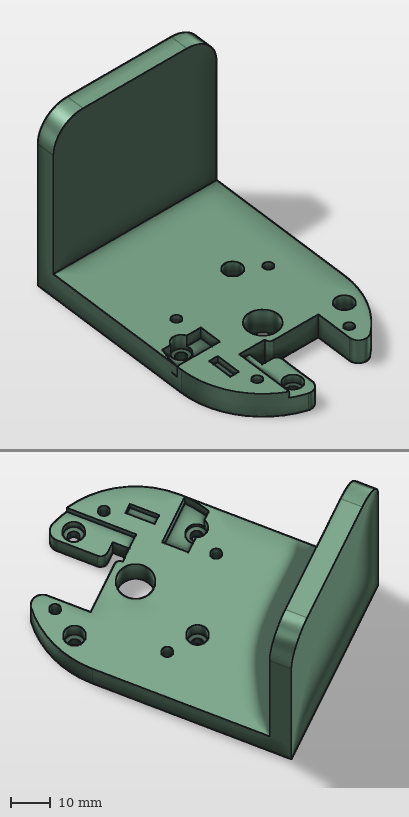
import cadquery as cq
import math

WIDTH = 55.0
HEIGHT = 57.6
BASE_THICKNESS = 7.7
WALL_THICKNESS = 6.0
WALL_CORNER_RADIUS = 10.0

END_RADIUS = WIDTH / 2
CENTRE_X = 55.0
BORE_DIAMETER = 10.0

BEYOND_END_X = CENTRE_X + WIDTH

OPENING_X = 61.9
OPENING_TOP_Y = 12.6
OPENING_BOTTOM_Y = -4.0
ARM_TIP_RADIUS = 3.0

NOTCH_X = 60.3
NOTCH_END_X = 65.25
NOTCH_BOTTOM_Y = -9.1
NOTCH_CORNER_RADIUS = 1.55
ARM_CORNER_RADIUS = 2.0

STEP_Y = -12.55
STEP_DEPTH = 2.0

POCKET_START_X = 46.1
POCKET_END_X = 53.35
POCKET_TOP_Y = -13.0
POCKET_RADIUS = END_RADIUS
POCKET_DEPTH = 3.6

SLOT_START_X = 57.2
SLOT_END_X = NOTCH_END_X
SLOT_TOP_Y = -17.1
SLOT_BOTTOM_Y = -19.95
SLOT_DEPTH = 2.0

PLAIN_HOLE_OFFSET = 15.5
PLAIN_HOLE_DIAMETER = 3.0
SCREW_OFFSET_LONG = 20.5
SCREW_OFFSET_SHORT = 7.9
SCREW_HOLE_DIAMETER = 3.2
COUNTERBORE_DIAMETER = 5.8
COUNTERBORE_FLOOR_Z = 3.0


def block(x_start, x_end, y_start, y_end, z_start, z_end):
    """Box given by its limits along each axis."""
    size = (x_end - x_start, y_end - y_start, z_end - z_start)
    return cq.Workplane("XY").box(*size, centered=False).translate((x_start, y_start, z_start))


def cylinders(centres, diameter, z_start=0.0):
    """Upright cylinders from z_start to the top of the base."""
    return (
        cq.Workplane("XY", origin=(0, 0, z_start))
        .pushPoints(centres)
        .circle(diameter / 2)
        .extrude(BASE_THICKNESS - z_start)
    )


def make_base():
    """Plate with a half-round end and the stepped opening between two arms."""
    half_width = WIDTH / 2
    plate = (
        cq.Workplane("XY")
        .moveTo(0, -half_width)
        .lineTo(CENTRE_X, -half_width)
        .threePointArc((CENTRE_X + END_RADIUS, 0), (CENTRE_X, half_width))
        .lineTo(0, half_width)
        .close()
        .extrude(BASE_THICKNESS)
    )
    opening = block(OPENING_X, BEYOND_END_X, OPENING_BOTTOM_Y, OPENING_TOP_Y, 0, BASE_THICKNESS)
    notch = block(NOTCH_X, NOTCH_END_X, NOTCH_BOTTOM_Y, OPENING_BOTTOM_Y, 0, BASE_THICKNESS)
    plate = plate.cut(opening).cut(notch)

    upper_tip = (CENTRE_X + math.sqrt(END_RADIUS**2 - OPENING_TOP_Y**2), OPENING_TOP_Y)
    lower_tip = (CENTRE_X + math.sqrt(END_RADIUS**2 - OPENING_BOTTOM_Y**2), OPENING_BOTTOM_Y)
    rounded_corners = [
        (upper_tip, ARM_TIP_RADIUS),
        (lower_tip, ARM_TIP_RADIUS),
        ((OPENING_X, OPENING_BOTTOM_Y), NOTCH_CORNER_RADIUS),
        ((NOTCH_END_X, OPENING_BOTTOM_Y), ARM_CORNER_RADIUS),
    ]
    for (x, y), radius in rounded_corners:
        corner = cq.selectors.NearestToPointSelector((x, y, BASE_THICKNESS / 2))
        plate = plate.edges("|Z").edges(corner).fillet(radius)
    return plate


def make_wall():
    """Upright wall with two rounded upper corners."""
    wall = block(0, WALL_THICKNESS, -WIDTH / 2, WIDTH / 2, 0, HEIGHT)
    return wall.edges("|X and >Z").fillet(WALL_CORNER_RADIUS)


def make_pocket():
    """Pocket that follows a circle about the bore, leaving a thin skin at the side."""
    floor_z = BASE_THICKNESS - POCKET_DEPTH
    pocket = block(POCKET_START_X, POCKET_END_X, -WIDTH, POCKET_TOP_Y, floor_z, BASE_THICKNESS)
    return pocket.intersect(cylinders([(CENTRE_X, 0)], 2 * POCKET_RADIUS))


def make_step():
    """Cutter that lowers the top of the lower arm."""
    floor_z = BASE_THICKNESS - STEP_DEPTH
    return block(NOTCH_X, BEYOND_END_X, STEP_Y, OPENING_BOTTOM_Y, floor_z, BASE_THICKNESS)


def make_slot():
    """Blind rectangular slot cutter."""
    floor_z = BASE_THICKNESS - SLOT_DEPTH
    return block(SLOT_START_X, SLOT_END_X, SLOT_BOTTOM_Y, SLOT_TOP_Y, floor_z, BASE_THICKNESS)


plain_centres = [
    (CENTRE_X + side_x * PLAIN_HOLE_OFFSET, side_y * PLAIN_HOLE_OFFSET)
    for side_x in (-1, 1)
    for side_y in (-1, 1)
]
screw_offsets = [
    (SCREW_OFFSET_SHORT, SCREW_OFFSET_LONG),
    (-SCREW_OFFSET_LONG, SCREW_OFFSET_SHORT),
    (-SCREW_OFFSET_SHORT, -SCREW_OFFSET_LONG),
    (SCREW_OFFSET_LONG, -SCREW_OFFSET_SHORT),
]
screw_centres = [(CENTRE_X + dx, dy) for dx, dy in screw_offsets]

result = (
    make_base()
    .cut(make_step())
    .cut(make_pocket())
    .cut(make_slot())
    .cut(cylinders([(CENTRE_X, 0)], BORE_DIAMETER))
    .cut(cylinders(plain_centres, PLAIN_HOLE_DIAMETER))
    .cut(cylinders(screw_centres, SCREW_HOLE_DIAMETER))
    .cut(cylinders(screw_centres, COUNTERBORE_DIAMETER, COUNTERBORE_FLOOR_Z))
    .union(make_wall())
)